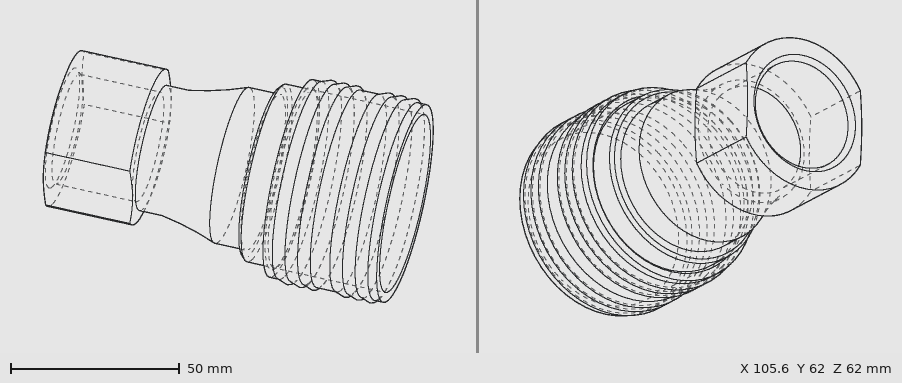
import cadquery as cq


overall_length = 105.6
nut_end = 28.0
flare_start = 35.0
flare_end = 52.3
body_start = 61.9
sleeve_start = 70.5

adapter_radius = 47.3 / 2
neck_radius = 38.0 / 2
flats_width = 41.0
nut_front_chamfer = 0.7
nut_back_chamfer = 1.3
flare_sag = 0.48
flare_middle_radius = (neck_radius + adapter_radius) / 2 - flare_sag

bore_radius = 33.3 / 2
bore_depth = 26.4
bore_chamfer = 1.6

body_radius = 54.0 / 2
body_chamfer = 1.1

sleeve_radius = 60.0 / 2
sleeve_bore_radius = body_radius
sleeve_mouth_chamfer = 0.7

crest_radius = 62.0 / 2
nose_radius = crest_radius - sleeve_radius
ridge_pitch = 3.9
ridges_per_group = 3
ridge_group_starts = [73.4, 91.1]
nose_lead = 0.48
nose_start_radius = sleeve_radius + (nose_radius**2 - nose_lead**2) ** 0.5


def revolve_about_x(profile):
    """Turn a closed (x, radius) profile about the X axis."""
    return profile.revolve(360, (0, 0, 0), (1, 0, 0))


def make_bore():
    """Blind bore with a chamfered mouth, as a cutting shape."""
    return revolve_about_x(
        cq.Workplane("XY")
        .lineTo(0, bore_radius + bore_chamfer)
        .lineTo(bore_chamfer, bore_radius)
        .lineTo(bore_depth, bore_radius)
        .lineTo(bore_depth, 0)
        .close()
    )


def make_wrench_section():
    """Chamfered round nut cut by two flats that face -Y and +Y."""
    nut = revolve_about_x(
        cq.Workplane("XY")
        .lineTo(0, flats_width / 2)
        .lineTo(nut_front_chamfer, adapter_radius)
        .lineTo(nut_end - nut_back_chamfer, adapter_radius)
        .lineTo(nut_end, neck_radius)
        .lineTo(nut_end, 0)
        .close()
    )
    between_flats = cq.Workplane("XY").box(
        nut_end, flats_width, 2 * adapter_radius, centered=(False, True, True)
    )
    return nut.intersect(between_flats)


def make_adapter():
    """Wrench section, neck and flare in one piece, bored from the front."""
    neck_and_flare = revolve_about_x(
        cq.Workplane("XY")
        .moveTo(nut_end, 0)
        .lineTo(nut_end, neck_radius)
        .lineTo(flare_start, neck_radius)
        .threePointArc(
            ((flare_start + flare_end) / 2, flare_middle_radius),
            (flare_end, adapter_radius),
        )
        .lineTo(body_start, adapter_radius)
        .lineTo(body_start, 0)
        .close()
    )
    return make_wrench_section().union(neck_and_flare).cut(make_bore())


def make_coupling_body():
    """Plain cylinder with a chamfered front edge."""
    return (
        cq.Workplane("YZ", origin=(body_start, 0, 0))
        .circle(body_radius)
        .extrude(overall_length - body_start)
        .faces("<X")
        .chamfer(body_chamfer)
    )


def add_ridge(profile, ridge_start):
    """Continue the sleeve profile over one grip ridge."""
    ridge_end = ridge_start + ridge_pitch
    crest = ridge_end - nose_radius
    return (
        profile.lineTo(crest - nose_lead, nose_start_radius)
        .threePointArc((crest, crest_radius), (ridge_end, sleeve_radius))
    )


def make_sleeve():
    """Ring around the coupling body with two groups of grip ridges."""
    profile = (
        cq.Workplane("XY")
        .moveTo(sleeve_start + sleeve_mouth_chamfer, sleeve_bore_radius)
        .lineTo(sleeve_start, sleeve_bore_radius + sleeve_mouth_chamfer)
        .lineTo(sleeve_start, sleeve_radius)
    )
    for group_start in ridge_group_starts:
        profile = profile.lineTo(group_start, sleeve_radius)
        for i in range(ridges_per_group):
            profile = add_ridge(profile, group_start + i * ridge_pitch)
    return revolve_about_x(
        profile.lineTo(overall_length, sleeve_radius)
        .lineTo(overall_length, sleeve_bore_radius)
        .close()
    )


adapter = make_adapter()
coupling_body = make_coupling_body()
sleeve = make_sleeve()

result = cq.Compound.makeCompound(
    [body.solids().val() for body in (adapter, coupling_body, sleeve)]
)